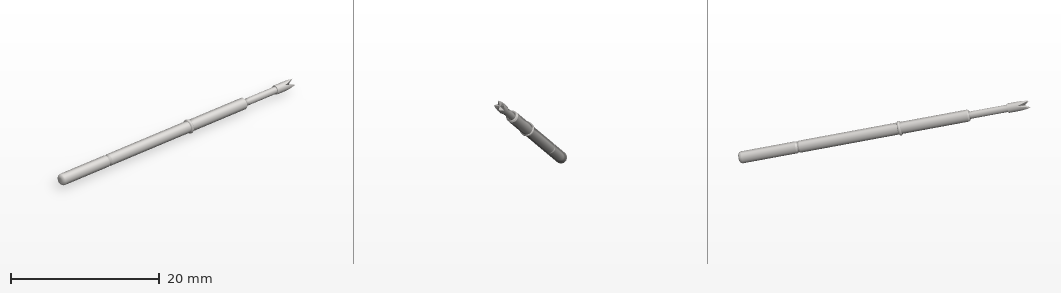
import cadquery as cq
import math


total_length = 40.3
tip_y = 18.0
rear_y = tip_y - total_length
head_length = 3.0
plunger_reach = 8.3
barrel_front_y = tip_y - plunger_reach
groove_y = -14.1

head_radius = 0.65
plunger_radius = 0.5
barrel_radius = 0.82
collar_radius = 1.0

rear_fillet = 0.45
front_chamfer = 0.2
collar_width = 0.44
groove_width = 0.48
groove_depth = 0.12

tooth_count = 4
valley_depth = 1.6
center_depth = 0.65
cutter_height = 9.0


def cylinder(radius, y_start, y_end):
    """Solid cylinder on the Y axis between two stations."""
    return cq.Workplane("XZ", origin=(0, y_start, 0)).circle(radius).extrude(-(y_end - y_start))


def make_barrel():
    """Revolved barrel with a bevelled mouth, rounded collar, V crimp groove and rounded rear end."""
    half_collar = collar_width / 2
    half_groove = groove_width / 2
    rear_mid = rear_fillet * (1 - math.sqrt(0.5))
    profile = (
        cq.Workplane("XY")
        .moveTo(0, rear_y)
        .lineTo(barrel_radius - rear_fillet, rear_y)
        .threePointArc((barrel_radius - rear_mid, rear_y + rear_mid), (barrel_radius, rear_y + rear_fillet))
        .lineTo(barrel_radius, groove_y - half_groove)
        .lineTo(barrel_radius - groove_depth, groove_y)
        .lineTo(barrel_radius, groove_y + half_groove)
        .lineTo(barrel_radius, -half_collar)
        .threePointArc((collar_radius, 0), (barrel_radius, half_collar))
        .lineTo(barrel_radius, barrel_front_y - front_chamfer)
        .lineTo(barrel_radius - front_chamfer, barrel_front_y)
        .lineTo(0, barrel_front_y)
        .close()
    )
    return profile.revolve(360, (0, 0, 0), (0, 1, 0))


def make_plunger():
    """Thin shaft carrying the wider crown head."""
    head_start_y = tip_y - head_length
    shaft = cylinder(plunger_radius, barrel_front_y, head_start_y)
    return shaft.union(cylinder(head_radius, head_start_y, tip_y))


def crown_cutter():
    """Space between the teeth: flat facets falling from each tooth ridge to the valleys beside it.

    Every ridge and valley starts at one point on the axis, and the cutter's rim lies outside the head.
    """
    rim_scale = 2
    rim_radius = rim_scale * head_radius
    center_y = tip_y - center_depth
    ridge_y = center_y + rim_scale * center_depth
    valley_y = center_y - rim_scale * (valley_depth - center_depth)
    half_pitch = math.pi / tooth_count
    rim = []
    for index in range(2 * tooth_count):
        angle = index * half_pitch
        y = valley_y if index % 2 else ridge_y
        rim.append(cq.Vector(rim_radius * math.cos(angle), y, rim_radius * math.sin(angle)))

    center = cq.Vector(0, center_y, 0)
    apex = cq.Vector(0, tip_y + cutter_height, 0)
    faces = []
    for index, point in enumerate(rim):
        following = rim[(index + 1) % len(rim)]
        for pole in (center, apex):
            outline = cq.Wire.makePolygon([pole, point, following], close=True)
            faces.append(cq.Face.makeFromWires(outline))
    return cq.Workplane(obj=cq.Solid.makeSolid(cq.Shell.makeShell(faces)))


probe = make_barrel().union(make_plunger()).cut(crown_cutter())
result = cq.Workplane(obj=probe.solids().val())